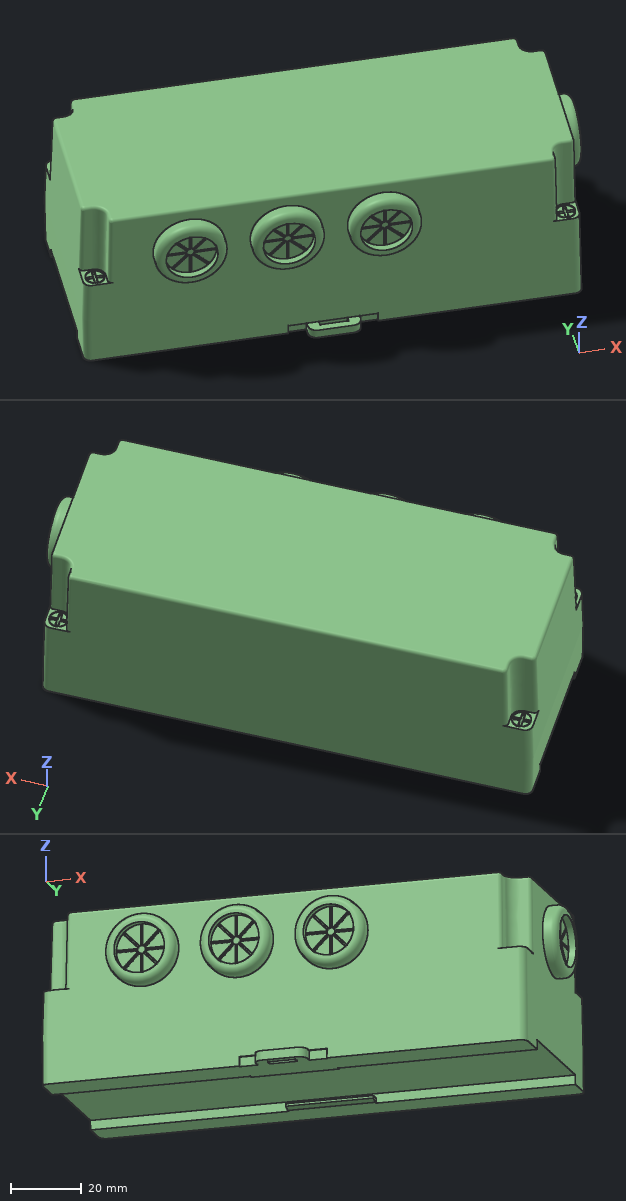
import cadquery as cq
import math

TOTAL_LENGTH = 148.6
TOTAL_WIDTH = 59.6
HEIGHT = 51.0

BODY_LENGTH = 145.0
BODY_WIDTH = 56.0
PARTING_HEIGHT = 14.9
DRAFT_ANGLE = 1.0
LID_DRAFT_ANGLE = 1.5
CORNER_RADIUS = 2.2
RIM_FILLET = 1.0

WALL_LEFT = -BODY_LENGTH / 2
WALL_RIGHT = BODY_LENGTH / 2
WALL_FRONT = -BODY_WIDTH / 2
WALL_BACK = BODY_WIDTH / 2
TIP_FRONT = WALL_BACK - TOTAL_WIDTH
TIP_RIGHT = WALL_LEFT + TOTAL_LENGTH

NOTCH_FLOOR = 28.0
NOTCH_RADIUS = 3.1
NOTCH_CUTTER_SIDE = 17.8
NOTCH_EDGE_FILLET = 1.2
SCREW_INSET = 4.2
SCREW_DIAMETER = 5.5
SCREW_SINK = 0.3
CROSS_LENGTH = 4.5
CROSS_WIDTH = 0.9
CROSS_DEPTH = 0.7

GROMMET_DIAMETER = 21.0
GROMMET_HEIGHT = 37.0
GROMMET_FILLET = 2.0
GROMMET_RECESS_DIAMETER = 15.0
GROMMET_RECESS_DEPTH = 2.2
GROMMET_LENGTH = 7.5
GROMMET_PITCH = 28.2
GROMMET_FIRST_X = -41.8
GROMMET_COUNT = 3
GROOVE_COUNT = 8
GROOVE_WIDTH = 0.6
GROOVE_DEPTH = 0.6
HUB_DIAMETER = 2.4

RAIL_DEPTH = 2.8
RAIL_FRONT = -17.5
RAIL_BACK = 18.1
HOOK_TOP = 1.5
HOOK_NOSE = 0.7
HOOK_FLAT = 0.9
FIXED_HOOK_REACH = 2.7
LATCH_HOOK_REACH = 2.1

LATCH_WIDTH = 26.2
LATCH_SETBACK = 0.6
TAB_WIDTH = 15.5
TAB_CORNER_RADIUS = 2.5
TAB_BAR_THICKNESS = 2.2
TAB_SLOT_WIDTH = 8.3


def housing_section(level):
    """Rounded outline at one level: -X and +Y lean in from the parting level, +X and -Y from the base."""
    draft = math.tan(math.radians(DRAFT_ANGLE))
    lid_draft = math.tan(math.radians(LID_DRAFT_ANGLE))
    two_way_inset = max(lid_draft * (level - PARTING_HEIGHT), draft * (PARTING_HEIGHT - level))
    one_way_inset = draft * level
    left = WALL_LEFT + two_way_inset
    right = WALL_RIGHT - one_way_inset
    front = WALL_FRONT + one_way_inset
    back = WALL_BACK - two_way_inset
    outline = cq.Sketch().rect(right - left, back - front).vertices().fillet(CORNER_RADIUS)
    return outline.moved(cq.Location(cq.Vector((left + right) / 2, (front + back) / 2, level)))


def make_housing():
    base = cq.Workplane("XY").placeSketch(
        housing_section(0), housing_section(PARTING_HEIGHT)
    ).loft(ruled=True)
    lid = cq.Workplane("XY").placeSketch(
        housing_section(PARTING_HEIGHT), housing_section(HEIGHT)
    ).loft(ruled=True)
    return base.union(lid)


def corner_signs():
    return [(x_sign, y_sign) for x_sign in (-1, 1) for y_sign in (-1, 1)]


def screw_axis(x_sign, y_sign):
    return x_sign * (BODY_LENGTH / 2 - SCREW_INSET), y_sign * (BODY_WIDTH / 2 - SCREW_INSET)


def notch_cutter(x_sign, y_sign):
    """Square column with rounded corners that widens upwards with the draft."""
    screw_x, screw_y = screw_axis(x_sign, y_sign)
    offset = NOTCH_CUTTER_SIDE / 2 - NOTCH_RADIUS
    return (
        cq.Workplane("XY", origin=(screw_x + x_sign * offset, screw_y + y_sign * offset, NOTCH_FLOOR))
        .sketch()
        .rect(NOTCH_CUTTER_SIDE, NOTCH_CUTTER_SIDE)
        .vertices()
        .fillet(NOTCH_RADIUS)
        .finalize()
        .extrude(HEIGHT - NOTCH_FLOOR, taper=-DRAFT_ANGLE)
    )


def screw_cutter(x_sign, y_sign):
    """Sunk screw head with a cross recess."""
    screw_x, screw_y = screw_axis(x_sign, y_sign)
    floor = cq.Workplane("XY", origin=(screw_x, screw_y, NOTCH_FLOOR))
    head = floor.circle(SCREW_DIAMETER / 2).extrude(-SCREW_SINK)
    cross_depth = SCREW_SINK + CROSS_DEPTH
    cross = floor.rect(CROSS_LENGTH, CROSS_WIDTH).extrude(-cross_depth)
    cross = cross.union(floor.rect(CROSS_WIDTH, CROSS_LENGTH).extrude(-cross_depth))
    return head.union(cross)


def is_notch_edge(edge):
    """True for the upright edges where a notch side meets an outer wall."""
    center = edge.Center()
    upright = edge.BoundingBox().zlen > (HEIGHT - NOTCH_FLOOR) / 2
    in_lid = center.z > NOTCH_FLOOR
    near_end = BODY_LENGTH / 2 - abs(center.x) < SCREW_INSET / 2
    near_side = BODY_WIDTH / 2 - abs(center.y) < SCREW_INSET / 2
    return upright and in_lid and (near_end or near_side)


def cut_lid_corners(body):
    for signs in corner_signs():
        body = body.cut(notch_cutter(*signs))
    body = body.edges().filter(is_notch_edge).fillet(NOTCH_EDGE_FILLET)
    body = body.faces(">Z").edges().fillet(RIM_FILLET)
    for signs in corner_signs():
        body = body.cut(screw_cutter(*signs))
    return body


def make_grommet(tip_plane):
    """Round plug seen from its tip: rounded rim, sunk membrane and radial grooves."""
    tip = cq.Workplane(tip_plane)
    plug = tip.circle(GROMMET_DIAMETER / 2).extrude(-GROMMET_LENGTH)
    tip_edge = cq.selectors.NearestToPointSelector(tip_plane.origin.toTuple())
    plug = plug.edges(tip_edge).fillet(GROMMET_FILLET)
    recess = tip.circle(GROMMET_RECESS_DIAMETER / 2).extrude(-GROMMET_RECESS_DEPTH)
    plug = plug.cut(recess)
    membrane = tip.workplane(offset=-GROMMET_RECESS_DEPTH)
    hub = membrane.circle(HUB_DIAMETER / 2).extrude(-GROOVE_DEPTH)
    for index in range(GROOVE_COUNT // 2):
        groove_pair = (
            membrane.transformed(rotate=(0, 0, index * 360 / GROOVE_COUNT))
            .rect(GROMMET_RECESS_DIAMETER, GROOVE_WIDTH)
            .extrude(-GROOVE_DEPTH)
        )
        plug = plug.cut(groove_pair)
    return plug.union(hub)


def add_grommets(body):
    for index in range(GROMMET_COUNT):
        x = GROMMET_FIRST_X + index * GROMMET_PITCH
        side_plane = cq.Plane((x, TIP_FRONT, GROMMET_HEIGHT), (1, 0, 0), (0, -1, 0))
        body = body.union(make_grommet(side_plane))
    end_plane = cq.Plane((TIP_RIGHT, 0, GROMMET_HEIGHT), (0, 1, 0), (1, 0, 0))
    return body.union(make_grommet(end_plane))


def make_hook(wall_y, direction, reach):
    """Rail hook on a channel wall, pointing along Y with a sloped underside."""
    return (
        cq.Workplane("YZ", origin=(-LATCH_WIDTH / 2, wall_y, 0))
        .moveTo(0, 0)
        .lineTo(direction * HOOK_FLAT, 0)
        .lineTo(direction * reach, HOOK_NOSE)
        .lineTo(direction * reach, HOOK_TOP)
        .lineTo(0, HOOK_TOP)
        .close()
        .extrude(LATCH_WIDTH)
    )


def cut_rail_channel(body):
    channel = cq.Workplane("XY").box(
        2 * TOTAL_LENGTH, RAIL_BACK - RAIL_FRONT, RAIL_DEPTH, centered=(True, False, False)
    ).translate((0, RAIL_FRONT, 0))
    body = body.cut(channel)
    body = body.union(make_hook(RAIL_BACK, -1, FIXED_HOOK_REACH))
    return body.union(make_hook(RAIL_FRONT, 1, LATCH_HOOK_REACH))


def add_latch(body):
    """Latch face set back into the front wall, with a slotted finger tab."""
    face_y = WALL_FRONT + LATCH_SETBACK
    tab_length = face_y - TIP_FRONT
    pocket = cq.Workplane("XY").box(
        LATCH_WIDTH, 2 * LATCH_SETBACK, RAIL_DEPTH, centered=(True, True, False)
    ).translate((0, WALL_FRONT, 0))
    tab = (
        cq.Workplane("XY")
        .box(TAB_WIDTH, tab_length, RAIL_DEPTH, centered=(True, False, False))
        .translate((0, TIP_FRONT, 0))
        .edges("|Z and <Y")
        .fillet(TAB_CORNER_RADIUS)
    )
    slot = cq.Workplane("XY").box(
        TAB_SLOT_WIDTH, tab_length - TAB_BAR_THICKNESS, RAIL_DEPTH, centered=(True, False, False)
    ).translate((0, TIP_FRONT + TAB_BAR_THICKNESS, 0))
    return body.cut(pocket).union(tab.cut(slot))


result = make_housing()
result = cut_lid_corners(result)
result = add_grommets(result)
result = cut_rail_channel(result)
result = add_latch(result)